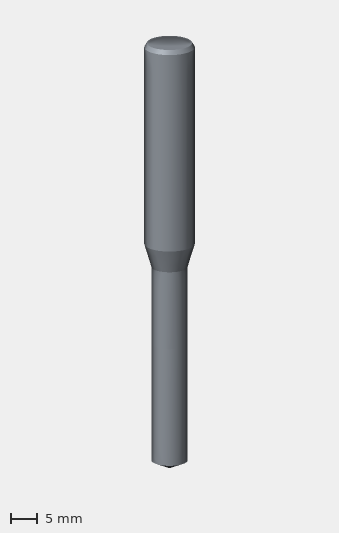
import cadquery as cq
import math

total_length = 84.1
shank_diameter = 9.5
neck_diameter = 6.8
cutter_diameter = neck_diameter

cutter_top = 24.6
neck_top = 39.9
shank_bottom = 44.4

chamfer_width = 0.5
chamfer_height = 0.8

point_angle = 130.0

shank_radius = shank_diameter / 2
neck_radius = neck_diameter / 2
cutter_radius = cutter_diameter / 2
point_height = cutter_radius / math.tan(math.radians(point_angle / 2))


def revolve_profile(points):
    """Revolve a closed (radius, height) outline around the Z axis."""
    return cq.Workplane("XZ").polyline(points).close().revolve(360, (0, 0), (0, 1))


def make_shank():
    """Chamfered shank that tapers down to a plain neck."""
    return revolve_profile([
        (0, cutter_top),
        (neck_radius, cutter_top),
        (neck_radius, neck_top),
        (shank_radius, shank_bottom),
        (shank_radius, total_length - chamfer_height),
        (shank_radius - chamfer_width, total_length),
        (0, total_length),
    ])


def make_cutter():
    """Cylindrical cutting head with a conical point, seated on the neck."""
    return revolve_profile([
        (0, 0),
        (cutter_radius, point_height),
        (cutter_radius, cutter_top),
        (0, cutter_top),
    ])


shank = make_shank()
cutter = make_cutter()

result = cq.Compound.makeCompound([shank.val(), cutter.val()])